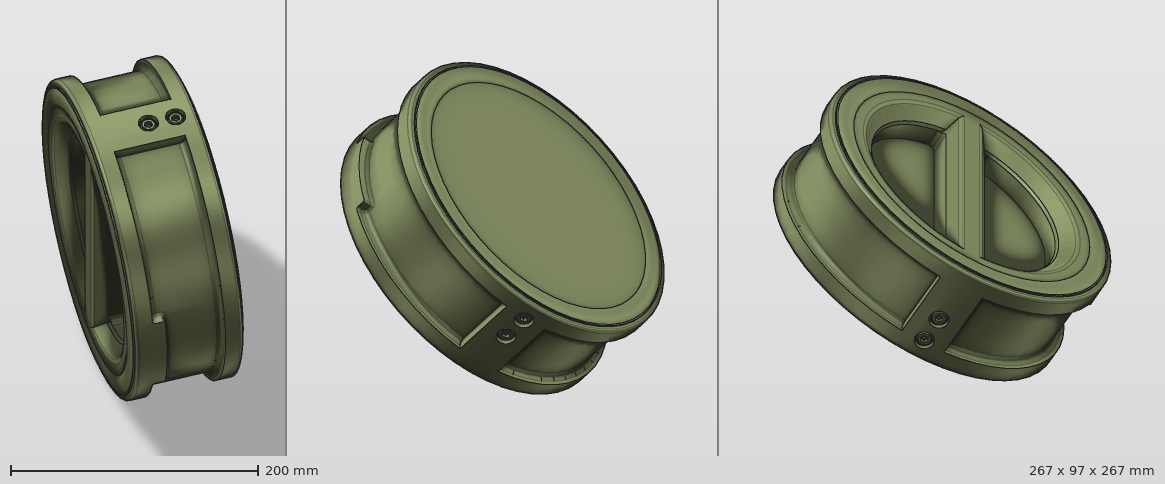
import cadquery as cq
import math


outer_radius = 133.5
flange_face_width = 90.0
flange_edge_fillet = 2.54

waist_radius = 125.0
waist_half_width = 30.0
waist_fillet = 5.0
bridge_half_width = 19.8
cutter_overrun = 2.7

seal_radius = 128.5
seal_face_width = 92.6
bead_outer_radius = 127.0
bead_inner_radius = 111.5
overall_width = 97.0

mouth_radius = 100.7
post_width = 19.5
throat_radius = 88.6
throat_wall_x = 18.2
throat_y = -35.8
seat_radius = 87.0
seat_lip_depth = 2.7
seat_corner_fillet = 5.3
flap_face_y = -17.5
mouth_fillet = 5.3

boss_half_height = 38.2
boss_end_y = -19.5
boss_edge_fillet = 1.5
boss_base_fillet = 2.5
block_overlap = 0.3
boss_embedding = 8.0

pin_positions_y = (4.8, 27.8)
counterbore_radius = 8.0
counterbore_depth = 5.3
plug_recess = 2.0
plug_radius = 6.5
plug_length = 12.0
plug_chamfer = 1.0
socket_across_flats = 6.0
socket_depth = 4.0
drill_point_angle = 120.0

flange_half_width = flange_face_width / 2
seal_half_width = seal_face_width / 2
bead_half_width = overall_width / 2
mouth_wall_x = post_width / 2
boss_root_x = math.sqrt(waist_radius**2 - boss_half_height**2) - boss_embedding
plug_top_z = outer_radius - plug_recess
hexagon_diameter = socket_across_flats / math.cos(math.pi / 6)


def disc(radius, start_y, end_y):
    """Solid cylinder on the Y axis."""
    return cq.Workplane("XZ", origin=(0, start_y, 0)).circle(radius).extrude(start_y - end_y)


def make_ring_blank():
    """Disc with rounded flange edges and a raised sealing face on each side."""
    flanges = disc(outer_radius, -flange_half_width, flange_half_width)
    flanges = flanges.edges("%CIRCLE").fillet(flange_edge_fillet)
    return flanges.union(disc(seal_radius, -seal_half_width, seal_half_width))


def make_groove():
    """Ring groove between the flanges, left out at the two bridges."""
    cutter_radius = outer_radius + cutter_overrun
    groove = (
        cq.Workplane("XY")
        .moveTo(cutter_radius, -waist_half_width)
        .lineTo(waist_radius + waist_fillet, -waist_half_width)
        .radiusArc((waist_radius, waist_fillet - waist_half_width), waist_fillet)
        .lineTo(waist_radius, waist_half_width - waist_fillet)
        .radiusArc((waist_radius + waist_fillet, waist_half_width), waist_fillet)
        .lineTo(cutter_radius, waist_half_width)
        .close()
        .revolve(360, (0, 0, 0), (0, 1, 0))
    )
    bridges = cq.Workplane("XY").box(2 * bridge_half_width, 2 * waist_half_width, 2 * cutter_radius)
    return groove.cut(bridges)


def make_boss_block():
    """Block that is kept as the boss when the waist groove is cut."""
    boss_length = boss_end_y + waist_half_width + block_overlap
    block = cq.Workplane("XY").box(
        outer_radius, boss_length, 2 * boss_half_height, centered=(False, False, True)
    ).translate((boss_root_x, boss_end_y - boss_length, 0))
    return block.faces(">Y").edges("|X").fillet(boss_edge_fillet)


def make_waist_cutter():
    """Waist groove that leaves the boss standing, blended at the boss base."""
    cutter = make_groove().cut(make_boss_block())
    base_arc = cq.selectors.BoxSelector(
        (boss_root_x, boss_end_y - block_overlap, -block_overlap),
        (waist_radius, boss_end_y + block_overlap, block_overlap),
    )
    return cutter.edges(base_arc).fillet(boss_base_fillet)


def make_inlet_cutter():
    """D-shaped inlet on the +X side: tapered mouth, then a straight seat."""
    taper_end_y = throat_y + seat_lip_depth
    taper_slope = (throat_wall_x - mouth_wall_x) / (throat_y + seal_half_width)
    taper_end_x = throat_wall_x + taper_slope * seat_lip_depth
    cone = (
        cq.Workplane("XY")
        .polyline([
            (0, -seal_half_width),
            (mouth_radius, -seal_half_width),
            (throat_radius, throat_y),
            (seat_radius, taper_end_y),
            (0, taper_end_y),
        ])
        .close()
        .revolve(360, (0, 0, 0), (0, 1, 0))
    )
    wedge = (
        cq.Workplane("XY", origin=(0, 0, -outer_radius))
        .polyline([
            (outer_radius, -seal_half_width),
            (mouth_wall_x, -seal_half_width),
            (taper_end_x, taper_end_y),
            (outer_radius, taper_end_y),
        ])
        .close()
        .extrude(2 * outer_radius)
    )
    half_space = cq.Workplane("XY").box(
        outer_radius, 2 * outer_radius, 2 * outer_radius, centered=(False, True, True)
    ).translate((throat_wall_x, 0, 0))
    seat = disc(seat_radius, throat_y, flap_face_y).intersect(half_space)
    seat = seat.edges("|Y").fillet(seat_corner_fillet)
    return cone.intersect(wedge).union(seat)


def round_inlet_mouths(body):
    """Round the rims of the inlets in the front sealing face."""
    front_face = body.faces("<Y").val()
    rims = [edge for wire in front_face.innerWires() for edge in wire.Edges()]
    return body.newObject(rims).fillet(mouth_fillet)


def make_bead():
    """Rounded bead on the front sealing face."""
    crest_radius = (bead_outer_radius + bead_inner_radius) / 2
    return (
        cq.Workplane("XY")
        .moveTo(bead_inner_radius, -seal_half_width)
        .threePointArc((crest_radius, -bead_half_width), (bead_outer_radius, -seal_half_width))
        .close()
        .revolve(360, (0, 0, 0), (0, 1, 0))
    )


def make_plug_hole(pin_y):
    """Counterbored hole at the top of the housing."""
    hole_bottom_z = plug_top_z - plug_length
    bore = cq.Workplane("XY", origin=(0, pin_y, hole_bottom_z)).circle(plug_radius).extrude(plug_length)
    counterbore = (
        cq.Workplane("XY", origin=(0, pin_y, outer_radius - counterbore_depth))
        .circle(counterbore_radius)
        .extrude(counterbore_depth)
    )
    return bore.union(counterbore)


def make_plug(pin_y):
    """Grub screw with a hexagon socket that ends in a drill point."""
    plug = (
        cq.Workplane("XY", origin=(0, pin_y, plug_top_z))
        .circle(plug_radius)
        .extrude(-plug_length)
        .faces(">Z")
        .chamfer(plug_chamfer)
    )
    socket = (
        cq.Workplane("XY", origin=(0, pin_y, plug_top_z))
        .polygon(6, hexagon_diameter)
        .extrude(-socket_depth)
    )
    point_radius = socket_across_flats / 2
    point_height = point_radius / math.tan(math.radians(drill_point_angle / 2))
    drill_point = cq.Solid.makeCone(
        point_radius, 0, point_height,
        pnt=cq.Vector(0, pin_y, plug_top_z - socket_depth), dir=cq.Vector(0, 0, -1),
    )
    return plug.cut(socket).cut(cq.Workplane(drill_point))


def make_housing():
    """Housing with sealing faces, post and closed flaps in one piece."""
    body = make_ring_blank().cut(make_waist_cutter())
    inlet = make_inlet_cutter()
    body = body.cut(inlet).cut(inlet.mirror("YZ"))
    body = round_inlet_mouths(body)
    bead = make_bead()
    body = body.union(bead).union(bead.mirror("XZ"))
    for pin_y in pin_positions_y:
        hole = make_plug_hole(pin_y)
        body = body.cut(hole).cut(hole.mirror("XY"))
    return body


housing = make_housing()

plugs = []
for pin_y in pin_positions_y:
    top_plug = make_plug(pin_y)
    plugs += [top_plug.val(), top_plug.mirror("XY").val()]

result = cq.Compound.makeCompound([housing.val(), *plugs])